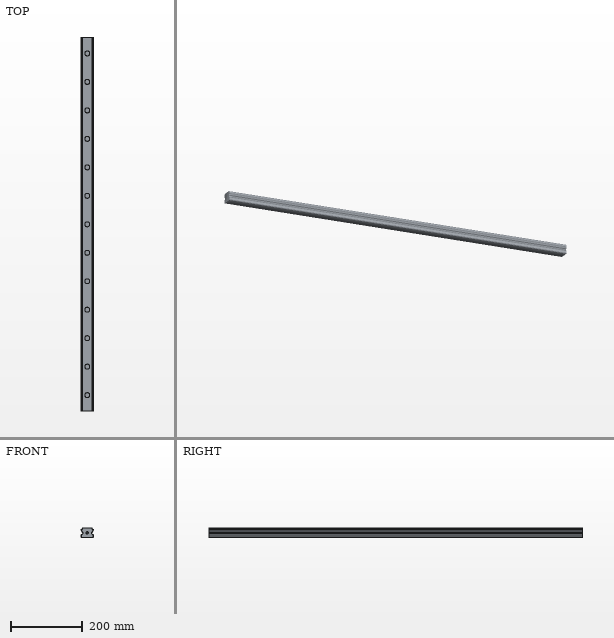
import cadquery as cq

RAIL_WIDTH = 34.0
RAIL_LENGTH = 1050.0
RAIL_HEIGHT = 27.5
HALF_WIDTH = RAIL_WIDTH / 2
FRONT_END = -RAIL_LENGTH / 2

BASE_CHAMFER_WIDTH = 2.0
BASE_CHAMFER_HEIGHT = 1.8
FOOT_FLANK_TOP = 7.4
WAIST_HALF_WIDTH = 12.4
WAIST_BOTTOM = 11.3
WAIST_TOP = 14.1

LOWER_TRACK_HALF_WIDTH = 14.75
LOWER_TRACK_BOTTOM = 16.1
LOWER_TRACK_SAGITTA = 0.4
HEAD_FLANK_BOTTOM = 20.9
HEAD_FLANK_TOP = RAIL_HEIGHT - 4.1
UPPER_TRACK_WIDTH = 3.0
UPPER_TRACK_SAGITTA = 1.2
TOP_CHAMFER_WIDTH = 1.0
TOP_CHAMFER_HEIGHT = 1.2

HOLE_COUNT = 13
HOLE_PITCH = 80.0
HOLE_DIAMETER = 14.0
HOLE_DEPTH = 0.5

END_HOLE_DIAMETER = 6.3
END_HOLE_DEPTH = 15.0
END_HOLE_HEIGHT = RAIL_HEIGHT / 2


def make_rail():
    """Right half of the section from base to top, mirrored and extruded along Y."""
    upper_track_half_width = HALF_WIDTH - UPPER_TRACK_WIDTH
    half_section = (
        cq.Workplane("XZ")
        .lineTo(HALF_WIDTH - BASE_CHAMFER_WIDTH, 0)
        .lineTo(HALF_WIDTH, BASE_CHAMFER_HEIGHT)
        .lineTo(HALF_WIDTH, FOOT_FLANK_TOP)
        .lineTo(WAIST_HALF_WIDTH, WAIST_BOTTOM)
        .lineTo(WAIST_HALF_WIDTH, WAIST_TOP)
        .lineTo(LOWER_TRACK_HALF_WIDTH, LOWER_TRACK_BOTTOM)
        .sagittaArc((HALF_WIDTH, HEAD_FLANK_BOTTOM), LOWER_TRACK_SAGITTA)
        .lineTo(HALF_WIDTH, HEAD_FLANK_TOP)
        .sagittaArc((upper_track_half_width, RAIL_HEIGHT - TOP_CHAMFER_HEIGHT), UPPER_TRACK_SAGITTA)
        .lineTo(upper_track_half_width - TOP_CHAMFER_WIDTH, RAIL_HEIGHT)
        .lineTo(0, RAIL_HEIGHT)
    )
    return half_section.mirrorY().extrude(RAIL_LENGTH / 2, both=True)


def make_mounting_holes():
    """Row of shallow round recesses in the top face."""
    return (
        cq.Workplane("XY", origin=(0, 0, RAIL_HEIGHT))
        .rarray(1, HOLE_PITCH, 1, HOLE_COUNT)
        .circle(HOLE_DIAMETER / 2)
        .extrude(-HOLE_DEPTH)
    )


def make_end_hole():
    """Blind hole running into the rail from its front end face."""
    return (
        cq.Workplane("XZ", origin=(0, FRONT_END, END_HOLE_HEIGHT))
        .circle(END_HOLE_DIAMETER / 2)
        .extrude(-END_HOLE_DEPTH)
    )


result = make_rail().cut(make_mounting_holes()).cut(make_end_hole())